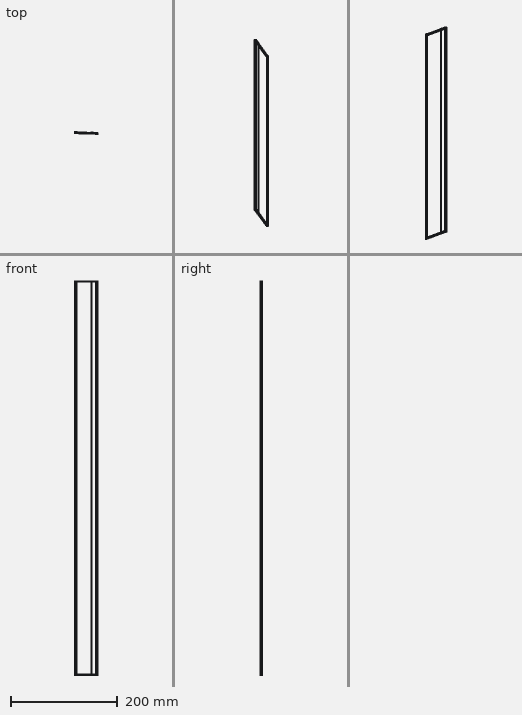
import cadquery as cq

width = 41.71
depth = 3.37
length = 736.82

front_at_left = 1.57
slope = 0.027
thickness = 1.3

flange_width = 2.6

strip_start = 30.9
strip_rise = 0.33

lip_start = 38.85
lip_foot_start = 39.3
lip_side_height = 0.69
back_end = 40.7


def front(x):
    """Y of the sheet's front face at x."""
    return front_at_left - slope * x


def back(x):
    """Y of the sheet's back face at x."""
    return front(x) + thickness


def cross_section():
    """Closed outline of the constant X-Y section."""
    front_side = [
        (0, front(0)),
        (lip_start, front(lip_start)),
    ]
    lip = [
        (lip_foot_start, 0),
        (width, 0),
        (width, lip_side_height),
    ]
    thick_strip = [
        (back_end, back(back_end) + strip_rise),
        (strip_start, back(strip_start) + strip_rise),
        (strip_start, back(strip_start)),
    ]
    flange = [
        (flange_width, back(flange_width)),
        (flange_width, depth),
        (0, depth),
    ]
    outline = front_side + lip + thick_strip + flange
    return cq.Workplane("XY").polyline(outline).close()


result = cross_section().extrude(length)